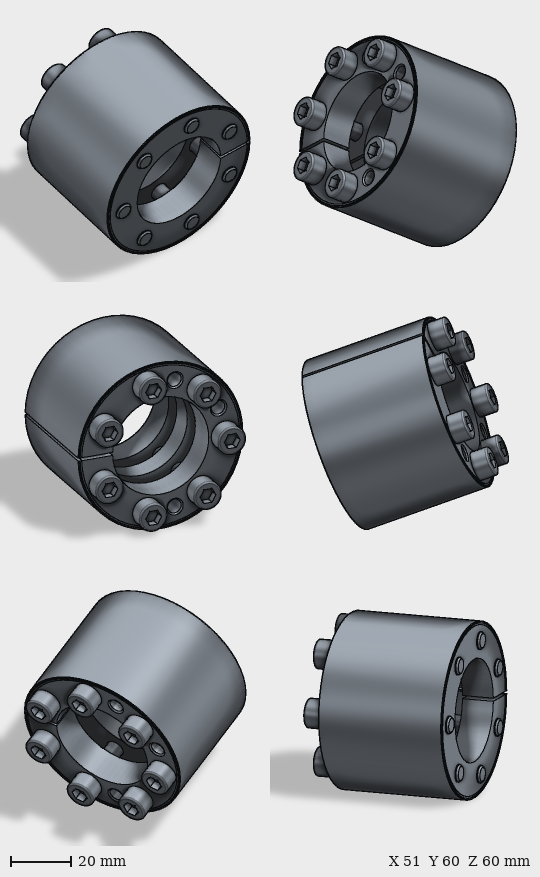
import cadquery as cq
import math


OUTER_DIAMETER = 60
BORE_DIAMETER = 35.0
BODY_LENGTH = 44.0
RIM_CHAMFER = 0.25
MOUTH_RADIUS = 29.35
MOUTH_DEPTH = 0.1
TAPER_RING_LENGTH = 11.05
TAPER_GAP = 6.6
TAPER_LARGE_RADIUS = 28.75
TAPER_SMALL_RADIUS = 27.6
SLIT_WIDTH = 1.1

SCREW_COUNT = 7
SCREW_CIRCLE_RADIUS = 23.4
SHANK_DIAMETER = 6
CLEARANCE_DIAMETER = 6.3
HEAD_DIAMETER = 10.0
HEAD_HEIGHT = 6
HEAD_FILLET = 0.6
SOCKET_WIDTH = 5.0
SOCKET_DEPTH = 3
TIP_PROTRUSION = 1.0
THREAD_CORE_DIAMETER = 4.9
TIP_CHAMFER_LENGTH = 0.65
TIP_CHAMFER_DEPTH = (SHANK_DIAMETER - THREAD_CORE_DIAMETER) / 2

JACK_COUNTERSINK_DIAMETER = 6
JACK_COUNTERSINK_DEPTH = (JACK_COUNTERSINK_DIAMETER - THREAD_CORE_DIAMETER) / 2

OUTER_RADIUS = OUTER_DIAMETER / 2
BORE_RADIUS = BORE_DIAMETER / 2
FRONT_TAPER_END = TAPER_RING_LENGTH
REAR_TAPER_START = BODY_LENGTH - TAPER_RING_LENGTH
WEB_START = FRONT_TAPER_END + TAPER_GAP
WEB_END = REAR_TAPER_START - TAPER_GAP
SCREW_LENGTH = BODY_LENGTH + TIP_PROTRUSION

SCREW_PITCH_ANGLE = 360 / SCREW_COUNT
SCREW_ANGLES = [i * SCREW_PITCH_ANGLE for i in range(SCREW_COUNT)]
JACK_ANGLES = [SCREW_PITCH_ANGLE * step for step in (-1.5, 0.5, 1.5)]


def circle_position(angle):
    """Y and Z of a place on the screw circle."""
    radians = math.radians(angle)
    return (-SCREW_CIRCLE_RADIUS * math.cos(radians), SCREW_CIRCLE_RADIUS * math.sin(radians))


def revolve_about_x(profile):
    """Full turn of a closed (x, radius) profile about the X axis."""
    return cq.Workplane("XY").polyline(profile).close().revolve(360, (0, 0, 0), (1, 0, 0))


def cut_slit(ring):
    """Cut the lengthwise slit through the +Y side of a ring."""
    slit = cq.Workplane("XY").box(BODY_LENGTH, OUTER_DIAMETER, SLIT_WIDTH, centered=(False, False, True))
    return ring.cut(slit)


def cut_screw_holes(ring, diameter):
    """Cut the circle of screw holes through the full length of a ring."""
    places = [circle_position(angle) for angle in SCREW_ANGLES]
    holes = cq.Workplane("YZ").pushPoints(places).circle(diameter / 2).extrude(BODY_LENGTH)
    return ring.cut(holes)


def make_outer_ring():
    """Outer ring with two tapered seats, relieved mouths, clearance behind them and a central web."""
    rim_radius = OUTER_RADIUS - RIM_CHAMFER
    taper_slope = (TAPER_LARGE_RADIUS - TAPER_SMALL_RADIUS) / TAPER_RING_LENGTH
    mouth_seat_radius = TAPER_LARGE_RADIUS - MOUTH_DEPTH * taper_slope
    ring = revolve_about_x([
        (0, rim_radius),
        (RIM_CHAMFER, OUTER_RADIUS),
        (BODY_LENGTH - RIM_CHAMFER, OUTER_RADIUS),
        (BODY_LENGTH, rim_radius),
        (BODY_LENGTH, MOUTH_RADIUS),
        (BODY_LENGTH - MOUTH_DEPTH, MOUTH_RADIUS),
        (BODY_LENGTH - MOUTH_DEPTH, mouth_seat_radius),
        (REAR_TAPER_START, TAPER_SMALL_RADIUS),
        (WEB_END, TAPER_SMALL_RADIUS),
        (WEB_END, BORE_RADIUS),
        (WEB_START, BORE_RADIUS),
        (WEB_START, TAPER_SMALL_RADIUS),
        (FRONT_TAPER_END, TAPER_SMALL_RADIUS),
        (MOUTH_DEPTH, mouth_seat_radius),
        (MOUTH_DEPTH, MOUTH_RADIUS),
        (0, MOUTH_RADIUS),
    ])
    return cut_slit(cut_screw_holes(ring, CLEARANCE_DIAMETER))


def make_taper_ring(face_x, inner_x, hole_diameter):
    """Taper ring with its large end at face_x, its small end at inner_x and one hole per screw."""
    ring = revolve_about_x([
        (face_x, BORE_RADIUS),
        (face_x, TAPER_LARGE_RADIUS),
        (inner_x, TAPER_SMALL_RADIUS),
        (inner_x, BORE_RADIUS),
    ])
    return cut_slit(cut_screw_holes(ring, hole_diameter))


def make_jack_hole(angle):
    """Cutter for one countersunk jack screw hole through the front taper ring."""
    core_radius = THREAD_CORE_DIAMETER / 2
    cutter = revolve_about_x([
        (0, 0),
        (0, JACK_COUNTERSINK_DIAMETER / 2),
        (JACK_COUNTERSINK_DEPTH, core_radius),
        (TAPER_RING_LENGTH, core_radius),
        (TAPER_RING_LENGTH, 0),
    ])
    return cutter.translate((0, *circle_position(angle)))


def make_front_taper_ring():
    """Taper ring under the screw heads, with its jack screw holes."""
    ring = make_taper_ring(0, FRONT_TAPER_END, CLEARANCE_DIAMETER)
    for angle in JACK_ANGLES:
        ring = ring.cut(make_jack_hole(angle))
    return ring


def make_screw(angle):
    """Socket head screw, its head seated on the front face and its tip past the rear face."""
    head = cq.Workplane("YZ").circle(HEAD_DIAMETER / 2).extrude(-HEAD_HEIGHT)
    head = head.faces("<X").edges().fillet(HEAD_FILLET)
    socket_corner_diameter = SOCKET_WIDTH / math.cos(math.radians(30))
    socket = (
        cq.Workplane("YZ", origin=(-HEAD_HEIGHT, 0, 0))
        .polygon(6, socket_corner_diameter)
        .extrude(SOCKET_DEPTH)
    )
    shank = cq.Workplane("YZ").circle(SHANK_DIAMETER / 2).extrude(SCREW_LENGTH)
    shank = shank.faces(">X").chamfer(TIP_CHAMFER_LENGTH, TIP_CHAMFER_DEPTH)
    screw = head.union(shank).cut(socket)
    return screw.translate((0, *circle_position(angle)))


outer_ring = make_outer_ring()
front_taper_ring = make_front_taper_ring()
rear_taper_ring = make_taper_ring(BODY_LENGTH, REAR_TAPER_START, SHANK_DIAMETER)
screws = [make_screw(angle) for angle in SCREW_ANGLES]

result = cq.Compound.makeCompound([
    outer_ring.val(),
    front_taper_ring.val(),
    rear_taper_ring.val(),
    *[screw.val() for screw in screws],
])